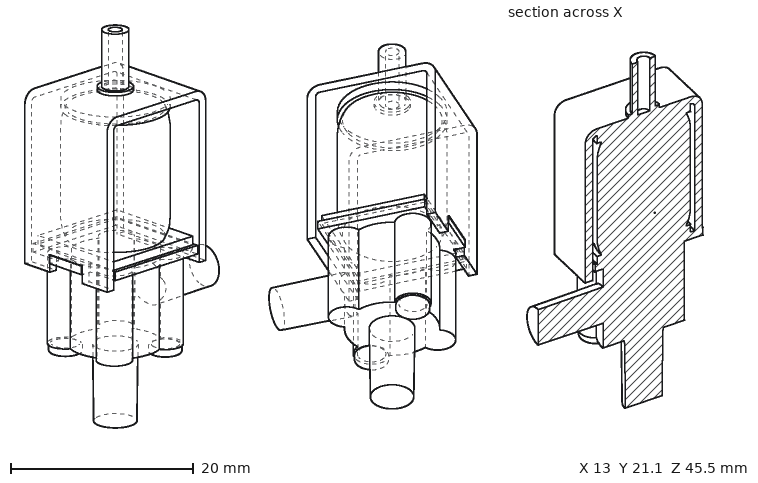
import cadquery as cq

TOTAL_HEIGHT = 45.5

YOKE_WIDTH = 13.0
YOKE_DEPTH = 15.0
YOKE_TOP = 38.5
YOKE_BOTTOM = 18.47
YOKE_THICKNESS = 1.0
BEND_RADIUS = 1.5

COLLAR_DIAMETER = 4.0
COLLAR_HEIGHT = 0.4
NIPPLE_DIAMETER = 3.0
NIPPLE_BORE = 1.5

COIL_DIAMETER = 12.0
COIL_END_DIAMETER = 10.9
COIL_SHOULDER_HEIGHT = 2.0
FLANGE_THICKNESS = 1.0

PLATE_DEPTH = 12.5
PLATE_THICKNESS = 1.0
PLATE_BOTTOM = 19.5
TAB_WIDTH = 5.1
TAB_REACH = 7.6

CORE_DIAMETER = 10.45
BODY_BOTTOM = 9.0
POST_DIAMETER = 4.0
POST_OFFSET = 3.85
FOOT_DIAMETER = 3.75
FOOT_HEIGHT = 1.0
FOOT_ROUNDING = 0.3

TUBE_ROOT_DIAMETER = 5.0
TUBE_TIP_DIAMETER = 4.8
INLET_HEIGHT = 14.75
INLET_REACH = 13.5

PLATE_TOP = PLATE_BOTTOM + PLATE_THICKNESS
COIL_BOTTOM = PLATE_TOP + FLANGE_THICKNESS
FLANGE_TOP = YOKE_TOP - YOKE_THICKNESS
COIL_TOP = FLANGE_TOP - FLANGE_THICKNESS


def block(width, depth, bottom, top):
    """Box centred on the Z axis."""
    return cq.Workplane("XY", origin=(0, 0, bottom)).rect(width, depth).extrude(top - bottom)


def cylinder(diameter, bottom, top):
    """Upright cylinder on the Z axis."""
    return cq.Workplane("XY", origin=(0, 0, bottom)).circle(diameter / 2).extrude(top - bottom)


def tapered_tube(length):
    """Solid hose tube with its root at the origin, pointing along +Z."""
    return (
        cq.Workplane("XY")
        .circle(TUBE_ROOT_DIAMETER / 2)
        .workplane(offset=length)
        .circle(TUBE_TIP_DIAMETER / 2)
        .loft(ruled=True)
    )


def make_yoke():
    """Bent strip, notched in the front leg for the plate tab."""
    outer = block(YOKE_WIDTH, YOKE_DEPTH, YOKE_BOTTOM, YOKE_TOP)
    outer = outer.edges("|X and >Z").fillet(BEND_RADIUS)
    inner = block(YOKE_WIDTH, YOKE_DEPTH - 2 * YOKE_THICKNESS, YOKE_BOTTOM, FLANGE_TOP)
    inner = inner.edges("|X and >Z").fillet(BEND_RADIUS - YOKE_THICKNESS)
    notch = block(TAB_WIDTH, YOKE_DEPTH, YOKE_BOTTOM, PLATE_TOP).translate((0, -YOKE_DEPTH / 2, 0))
    return outer.cut(inner).cut(notch)


def make_coil():
    """Barrel-shaped coil with a round upper flange and a square lower one."""
    radius = COIL_DIAMETER / 2
    end_radius = COIL_END_DIAMETER / 2
    shoulder_top = COIL_TOP - COIL_SHOULDER_HEIGHT
    shoulder_bottom = COIL_BOTTOM + COIL_SHOULDER_HEIGHT
    profile = (
        cq.Workplane("XZ")
        .moveTo(radius, shoulder_bottom)
        .lineTo(radius, shoulder_top)
        .tangentArcPoint((end_radius, COIL_TOP), relative=False)
        .lineTo(0, COIL_TOP)
        .lineTo(0, COIL_BOTTOM)
        .lineTo(end_radius, COIL_BOTTOM)
    )
    drop = radius - end_radius
    arc_radius = (COIL_SHOULDER_HEIGHT**2 + drop**2) / (2 * drop)
    profile = profile.radiusArc((radius, shoulder_bottom), -arc_radius).close()
    barrel = profile.revolve(360, (0, 0, 0), (0, 1, 0))
    upper_flange = cylinder(COIL_DIAMETER, COIL_TOP, FLANGE_TOP)
    lower_flange = block(COIL_DIAMETER, COIL_DIAMETER, PLATE_TOP, COIL_BOTTOM)
    return barrel.union(upper_flange).union(lower_flange)


def make_body():
    """Core and four corner posts, with rounded feet under one diagonal pair."""
    body = cylinder(CORE_DIAMETER, BODY_BOTTOM, PLATE_BOTTOM)
    post = cylinder(POST_DIAMETER, BODY_BOTTOM, PLATE_BOTTOM)
    foot = cylinder(FOOT_DIAMETER, BODY_BOTTOM - FOOT_HEIGHT, BODY_BOTTOM)
    foot = foot.edges("%CIRCLE").fillet(FOOT_ROUNDING)
    for x_side in (-1, 1):
        for y_side in (-1, 1):
            place = (x_side * POST_OFFSET, y_side * POST_OFFSET, 0)
            body = body.union(post.translate(place))
            if x_side == y_side:
                body = body.union(foot.translate(place))
    return body


def make_plate():
    """Mounting plate with its tab running out through the front leg."""
    plate = block(YOKE_WIDTH, PLATE_DEPTH, PLATE_BOTTOM, PLATE_TOP)
    tab = block(TAB_WIDTH, TAB_REACH, PLATE_BOTTOM, PLATE_TOP)
    return plate.union(tab.translate((0, -TAB_REACH / 2, 0)))


def make_tubes():
    """Outlet pointing down and inlet pointing toward +Y, rooted on the valve axis."""
    outlet = tapered_tube(BODY_BOTTOM).rotate((0, 0, 0), (1, 0, 0), 180)
    outlet = outlet.translate((0, 0, BODY_BOTTOM))
    inlet = tapered_tube(INLET_REACH).rotate((0, 0, 0), (1, 0, 0), -90)
    inlet = inlet.translate((0, 0, INLET_HEIGHT))
    return outlet.union(inlet)


def make_nipple():
    """Collar and nipple on top of the yoke, bored down to the yoke."""
    collar = cylinder(COLLAR_DIAMETER, YOKE_TOP, YOKE_TOP + COLLAR_HEIGHT)
    stem = cylinder(NIPPLE_DIAMETER, YOKE_TOP, TOTAL_HEIGHT)
    bore = cylinder(NIPPLE_BORE, YOKE_TOP, TOTAL_HEIGHT)
    return collar.union(stem).cut(bore)


result = make_yoke().union(make_coil()).union(make_plate()).union(make_body())
result = result.union(make_tubes()).union(make_nipple())